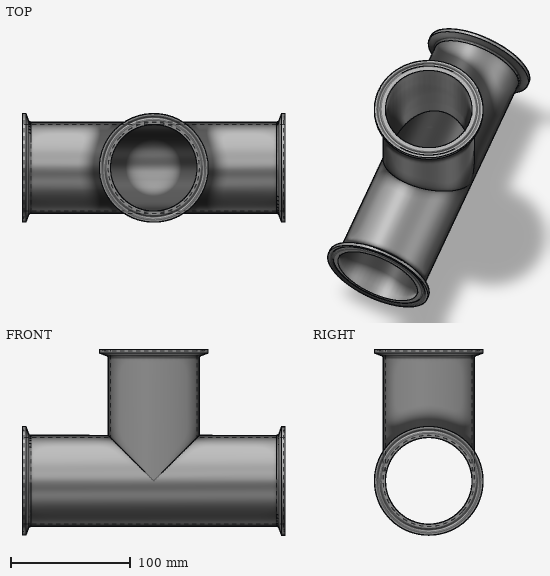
import cadquery as cq
import math

RUN_LENGTH = 220.0
END_DISTANCE = RUN_LENGTH / 2
TUBE_RADIUS = 76.3 / 2
BORE_RADIUS = 72.4 / 2

FLANGE_RADIUS = 91.0 / 2
RIM_THICKNESS = 3.0
BACK_ANGLE = math.radians(20)
NECK_FILLET = 2.0

GROOVE_RADIUS = 83.4 / 2
GROOVE_HALF_WIDTH = 1.87
GROOVE_BOWL_HALF_WIDTH = 1.0
GROOVE_DEPTH = 1.3


def groove_ring():
    """Ring to cut from an end face, revolved about Z with the face at END_DISTANCE."""
    wall_angle = 2 * math.atan(GROOVE_DEPTH / GROOVE_HALF_WIDTH)
    lip_radius = (GROOVE_HALF_WIDTH - GROOVE_BOWL_HALF_WIDTH) / math.sin(wall_angle)
    wall_z = END_DISTANCE - lip_radius * (1 - math.cos(wall_angle))
    lip_mid_x = GROOVE_HALF_WIDTH - lip_radius * math.sin(wall_angle / 2)
    lip_mid_z = END_DISTANCE - lip_radius * (1 - math.cos(wall_angle / 2))
    inner_lip_mid = (GROOVE_RADIUS - lip_mid_x, lip_mid_z)
    outer_lip_mid = (GROOVE_RADIUS + lip_mid_x, lip_mid_z)
    inner_wall = (GROOVE_RADIUS - GROOVE_BOWL_HALF_WIDTH, wall_z)
    outer_wall = (GROOVE_RADIUS + GROOVE_BOWL_HALF_WIDTH, wall_z)
    bottom = (GROOVE_RADIUS, END_DISTANCE - GROOVE_DEPTH)
    return (
        cq.Workplane("XZ")
        .moveTo(GROOVE_RADIUS - GROOVE_HALF_WIDTH, END_DISTANCE)
        .threePointArc(inner_lip_mid, inner_wall)
        .threePointArc(bottom, outer_wall)
        .threePointArc(outer_lip_mid, (GROOVE_RADIUS + GROOVE_HALF_WIDTH, END_DISTANCE))
        .close()
        .revolve(360, (0, 0, 0), (0, 1, 0))
    )


def flange():
    """Solid flange with a filleted neck, topping a tube that points up Z."""
    rim_back_z = END_DISTANCE - RIM_THICKNESS
    neck_z = rim_back_z - (FLANGE_RADIUS - TUBE_RADIUS) * math.tan(BACK_ANGLE)

    turn = math.pi / 2 - BACK_ANGLE
    tangent_length = NECK_FILLET * math.tan(turn / 2)
    fillet_start_z = neck_z - tangent_length
    fillet_mid = (
        TUBE_RADIUS + NECK_FILLET * (1 - math.cos(turn / 2)),
        fillet_start_z + NECK_FILLET * math.sin(turn / 2),
    )
    fillet_end = (
        TUBE_RADIUS + tangent_length * math.cos(BACK_ANGLE),
        neck_z + tangent_length * math.sin(BACK_ANGLE),
    )
    return (
        cq.Workplane("XZ")
        .moveTo(0, fillet_start_z)
        .lineTo(TUBE_RADIUS, fillet_start_z)
        .threePointArc(fillet_mid, fillet_end)
        .lineTo(FLANGE_RADIUS, rim_back_z)
        .lineTo(FLANGE_RADIUS, END_DISTANCE)
        .lineTo(0, END_DISTANCE)
        .close()
        .revolve(360, (0, 0, 0), (0, 1, 0))
    )


def crossing_cylinders(radius):
    """Full-length run joined to a branch that starts at the run axis."""
    run = cq.Workplane("YZ").circle(radius).extrude(END_DISTANCE, both=True)
    branch = cq.Workplane("XY").circle(radius).extrude(END_DISTANCE)
    return run.union(branch)


body = crossing_cylinders(TUBE_RADIUS)
end_flange = flange()
end_groove = groove_ring()
for tilt in (-90, 0, 90):
    body = body.union(end_flange.rotate((0, 0, 0), (0, 1, 0), tilt))
    body = body.cut(end_groove.rotate((0, 0, 0), (0, 1, 0), tilt))

result = body.cut(crossing_cylinders(BORE_RADIUS))